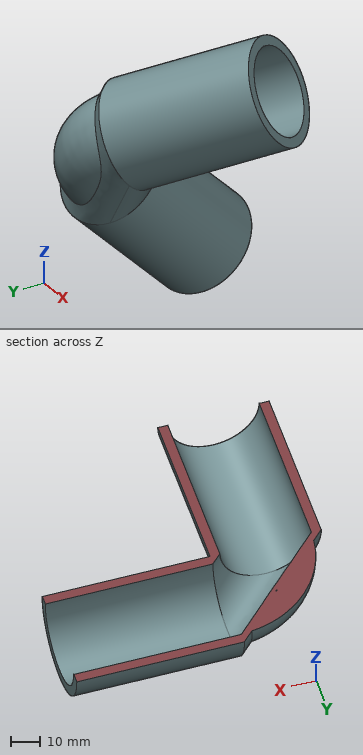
import cadquery as cq
import math

leg_length = 60.0
outer_radius = 20.0
wall = 3.7

bore_radius = outer_radius - wall
axis_offset = outer_radius
corner_size = 2 * outer_radius


def straight_legs(radius):
    """Two round bars: one running along -Y, the other along +X."""
    leg_y = cq.Workplane("XZ").center(-axis_offset, 0).circle(radius).extrude(leg_length)
    leg_x = cq.Workplane("YZ").center(axis_offset, 0).circle(radius).extrude(leg_length)
    return leg_y.union(leg_x)


def diagonal_link(radius):
    """Oblique bar at 45 degrees whose ends are the round end faces of the two legs."""
    diagonal_plane = cq.Plane(
        origin=(-3 * axis_offset, -2 * axis_offset, 0),
        xDir=(1, -1, 0),
        normal=(1, 1, 0),
    )
    bar = (
        cq.Workplane(diagonal_plane)
        .ellipse(radius / math.sqrt(2), radius)
        .extrude(4 * corner_size)
    )
    corner_block = (
        cq.Workplane("XY")
        .box(corner_size, corner_size, corner_size)
        .translate((-axis_offset, axis_offset, 0))
    )
    return bar.intersect(corner_block)


def round_bend(radius):
    """Quarter torus joining the two leg axes around the inner corner."""
    return (
        cq.Workplane("XZ")
        .center(-axis_offset, 0)
        .circle(radius)
        .revolve(90, (axis_offset, 0, 0), (axis_offset, -1, 0))
    )


outside = straight_legs(outer_radius).union(diagonal_link(outer_radius))
outside = outside.union(round_bend(bore_radius))
passage = straight_legs(bore_radius).union(diagonal_link(bore_radius))
result = outside.cut(passage)